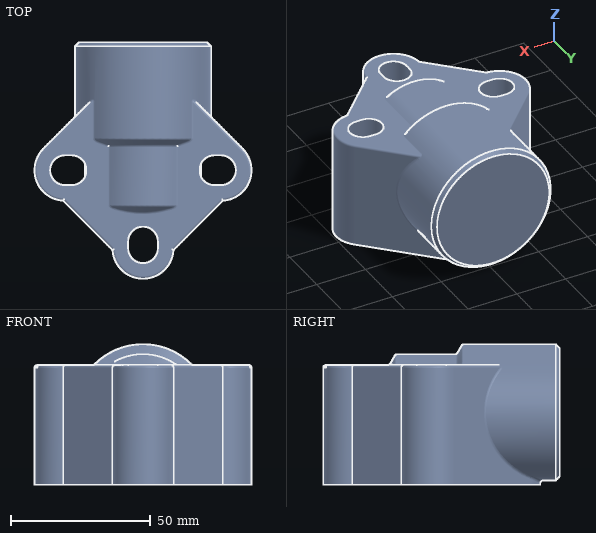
import cadquery as cq
import math

block_height = 43.0
lobe_offset = 28.0
lobe_radius = 11.0
front_flat_distance = 28.0
edge_radius = 1.0

slot_width = 10.6
slot_length = 13.0

axis_height = 26.0
port_radius = 49.0 / 2
port_end_y = 46.0
port_shoulder_y = 11.0
port_end_chamfer = 1.5
nose_radius = 20.9
nose_shoulder_y = -13.0
cone_tilt = math.radians(30)
nose_tip_radius = 10.0

cos45 = math.cos(math.radians(45))


def lobe(x, y):
    return cq.Workplane("XY").center(x, y).circle(lobe_radius).extrude(block_height)


def bolt_slot(angle):
    outer_end = lobe_offset + slot_width / 2
    return (
        cq.Workplane("XY")
        .center(outer_end - slot_length / 2, 0)
        .slot2D(slot_length, slot_width)
        .extrude(block_height)
        .rotate((0, 0, 0), (0, 0, 1), angle)
    )


def make_block():
    """Diamond block: tangent faces at the back, lobes standing proud at the front."""
    tangent = lobe_radius * cos45
    front_step = (front_flat_distance - lobe_offset * cos45) * cos45
    block = (
        cq.Workplane("XY")
        .moveTo(lobe_offset + tangent, tangent)
        .lineTo(tangent, lobe_offset + tangent)
        .threePointArc((0, lobe_offset + lobe_radius), (-tangent, lobe_offset + tangent))
        .lineTo(-lobe_offset - tangent, tangent)
        .lineTo(-lobe_offset, 0)
        .lineTo(-lobe_offset - front_step, -front_step)
        .lineTo(-front_step, -lobe_offset - front_step)
        .lineTo(front_step, -lobe_offset - front_step)
        .lineTo(lobe_offset + front_step, -front_step)
        .lineTo(lobe_offset, 0)
        .close()
        .extrude(block_height)
    )
    for x, y in [(-lobe_offset, 0), (lobe_offset, 0), (0, -lobe_offset)]:
        block = block.union(lobe(x, y))
    for angle in (0, 180, 270):
        block = block.cut(bolt_slot(angle))
    return block


def make_housing():
    """Port cylinder and smaller nose, each ending in a cone, turned about the Y axis."""
    slope = math.tan(cone_tilt)
    port_cone_end_y = port_shoulder_y - (port_radius - nose_radius) * slope
    nose_tip_y = nose_shoulder_y - (nose_radius - nose_tip_radius) * slope
    profile = (
        cq.Workplane("XY")
        .moveTo(0, port_end_y)
        .lineTo(port_radius - port_end_chamfer, port_end_y)
        .lineTo(port_radius, port_end_y - port_end_chamfer)
        .lineTo(port_radius, port_shoulder_y)
        .lineTo(nose_radius, port_cone_end_y)
        .lineTo(nose_radius, nose_shoulder_y)
        .lineTo(nose_tip_radius, nose_tip_y)
        .lineTo(0, nose_tip_y)
        .close()
    )
    housing = profile.revolve(360, (0, 0, 0), (0, 1, 0))
    return housing.translate((0, 0, axis_height))


def round_edges(body):
    """Round the block's top outline, the boss roots and the boss shoulders together."""
    top_outline = body.faces("+Z").val().outerWire().Edges()
    saddle = body.edges("%ELLIPSE").vals() + body.edges("%BSPLINE").edges(">Y").vals()
    above_block = cq.selectors.BoxSelector(
        (-port_radius, nose_shoulder_y - edge_radius, block_height + edge_radius),
        (port_radius, port_shoulder_y + edge_radius, axis_height + port_radius),
    )
    shoulders = body.edges("%CIRCLE").edges(above_block).vals()
    return body.newObject(top_outline + saddle + shoulders).fillet(edge_radius)


rounded = round_edges(make_block().union(make_housing()))
result = cq.Workplane(rounded.solids().val())